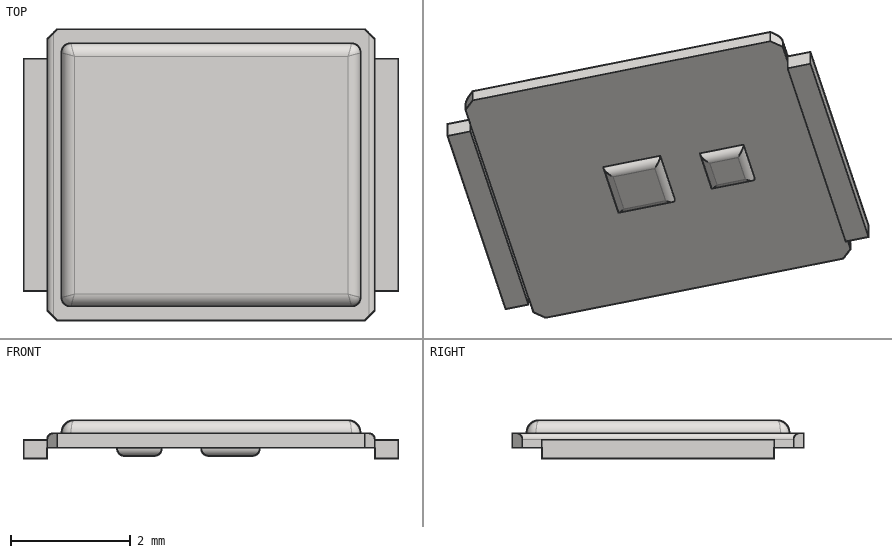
import cadquery as cq

length = 6.3
width = 4.9
height = 0.65

terminal_length = 0.4
terminal_width = 3.905
terminal_height = 0.315

plate_length = length - 2 * terminal_length
plate_bottom = 0.18
plate_top = 0.43
plate_corner_chamfer = 0.17
plate_end_radius = 0.1

lid_margin = 0.24
lid_edge_radius = 0.215
lid_corner_radius = 0.15

pads = [(-1.205, 0.755), (0.33, 0.99)]
pad_bottom = 0.045
pad_edge_radius = 0.13


def block(size_x, size_y, bottom, top, center_x=0):
    """Box centred on Y = 0 between two heights."""
    return (
        cq.Workplane("XY", origin=(center_x, 0, bottom))
        .box(size_x, size_y, top - bottom, centered=(True, True, False))
    )


def make_plate():
    """Plate with its two upper end edges rounded and its corners cut off."""
    plate = block(plate_length, width, plate_bottom, plate_top)
    plate = plate.faces(">Z").edges("|Y").fillet(plate_end_radius)
    corner_cutter = (
        block(plate_length, width, plate_bottom, plate_top)
        .edges("|Z")
        .chamfer(plate_corner_chamfer)
    )
    return plate.intersect(corner_cutter)


def make_lid():
    """Lid with a rounded rim whose mitred corners are softened."""
    lid = block(plate_length - 2 * lid_margin, width - 2 * lid_margin, plate_top, height)
    lid = lid.faces(">Z").edges().fillet(lid_edge_radius)
    return lid.edges("|Z").fillet(lid_corner_radius)


def make_pad(center_x, side):
    """Square pad with a rounded lower rim."""
    pad = block(side, side, pad_bottom, plate_bottom, center_x)
    return pad.faces("<Z").edges().fillet(pad_edge_radius)


result = make_plate().union(make_lid())

for end in (-1, 1):
    terminal_x = end * (length - terminal_length) / 2
    result = result.union(block(terminal_length, terminal_width, 0, terminal_height, terminal_x))

for pad_x, pad_side in pads:
    result = result.union(make_pad(pad_x, pad_side))